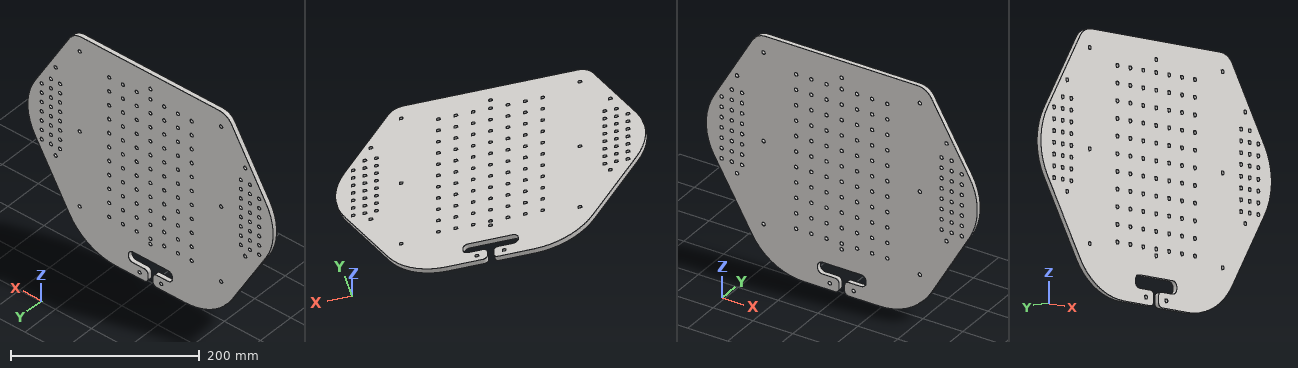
import cadquery as cq
import math

width = 340.0
thickness = 6.0
top_z = 130.0
height = 287.3
bottom_z = top_z - height
side_angle = math.radians(60)
top_corner_radius = 20.0
large_corner_radius = 74.8

hole_diameter = 4.0
grid_pitch = 19.0
grid_columns = 7
grid_rows = 11
side_pitch = grid_pitch * 2 / 3
side_first_x = 125.0
side_rows_below = 3
side_rows_above = (4, 4, 3)
mount_x = 98.0
mount_top_z = 109.0
mount_bottom_z = -102.5
edge_hole_x = 131.2
edge_hole_top_z = 70.0
edge_hole_bottom_z = -50.3
tab_hole_x = 15.0
tab_hole_z = -149.0

slot_width = 60.5
slot_height = 14.3
slot_top_z = -126.0
slot_bottom_z = slot_top_z - slot_height
slot_corner_radius = 6.0
mouth_width = 6.8
tab_corner_radius = 5.0


def block(size_x, low_z, high_z):
    """Plate-thick block centred on X between two levels."""
    return cq.Workplane("XY").box(size_x, thickness, high_z - low_z).translate((0, 0, (low_z + high_z) / 2))


def round_corners(body, corners, radius):
    """Fillet the through-thickness edges at the given (x, z) corners."""
    for x, z in corners:
        body = body.edges(cq.selectors.NearestToPointSelector((x, 0, z))).fillet(radius)
    return body


def mirrored(points):
    """The points together with their mirror images about X = 0."""
    return points + [(-x, z) for x, z in points]


def make_plate():
    tip_loss = large_corner_radius * (1 / math.sin(side_angle) - 1)
    side_x = width / 2 + tip_loss
    top_x = side_x - top_z / math.tan(side_angle)
    bottom_x = side_x + bottom_z / math.tan(side_angle)
    outline = [
        (-side_x, 0),
        (-top_x, top_z),
        (top_x, top_z),
        (side_x, 0),
        (bottom_x, bottom_z),
        (-bottom_x, bottom_z),
    ]
    plate = cq.Workplane("XZ").polyline(outline).close().extrude(thickness / 2, both=True)
    plate = round_corners(plate, mirrored([(top_x, top_z)]), top_corner_radius)
    return round_corners(plate, mirrored([(side_x, 0), (bottom_x, bottom_z)]), large_corner_radius)


def cut_opening(plate):
    slot = block(slot_width, slot_bottom_z, slot_top_z).edges("|Y").fillet(slot_corner_radius)
    mouth = block(mouth_width, bottom_z, slot_bottom_z + slot_height / 2)
    tab_x = mouth_width / 2
    tab_corners = mirrored([(tab_x, slot_bottom_z), (tab_x, bottom_z)])
    return round_corners(plate.cut(slot).cut(mouth), tab_corners, tab_corner_radius)


def grid_points():
    return [
        ((column - (grid_columns - 1) / 2) * grid_pitch, (row - (grid_rows - 1) / 2) * grid_pitch)
        for column in range(grid_columns)
        for row in range(grid_rows)
    ]


def side_points():
    return mirrored([
        (side_first_x + column * side_pitch, row * side_pitch)
        for column, rows_above in enumerate(side_rows_above)
        for row in range(-side_rows_below, rows_above + 1)
    ])


def mount_points():
    centre_line = [(0, mount_top_z), (0, mount_bottom_z)]
    paired = [
        (mount_x, mount_top_z),
        (mount_x, 0),
        (mount_x, mount_bottom_z),
        (edge_hole_x, edge_hole_top_z),
        (edge_hole_x, edge_hole_bottom_z),
        (tab_hole_x, tab_hole_z),
    ]
    return centre_line + mirrored(paired)


def make_holes():
    points = grid_points() + side_points() + mount_points()
    return cq.Workplane("XZ").pushPoints(points).circle(hole_diameter / 2).extrude(thickness, both=True)


result = cut_opening(make_plate()).cut(make_holes())